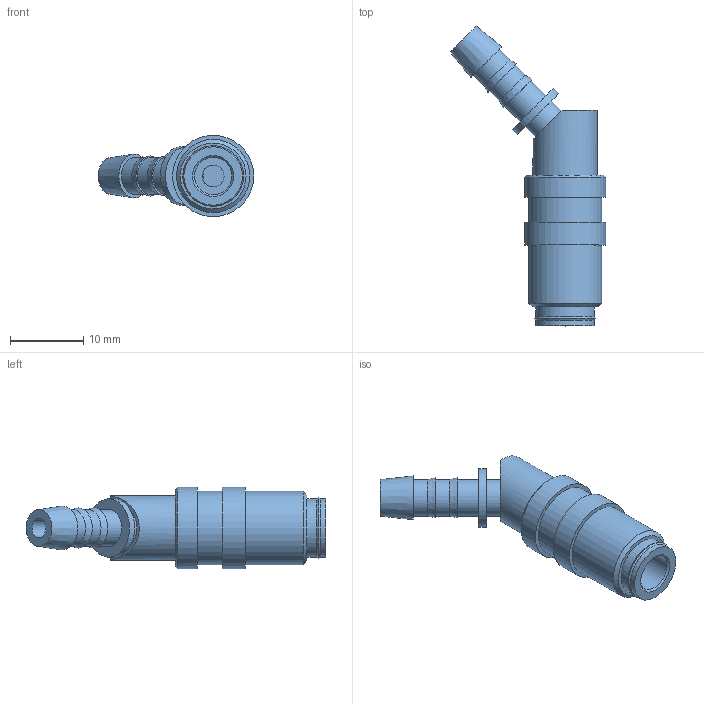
import cadquery as cq


PLUG_RADIUS = 4.0
PLUG_LENGTH = 2.62
BEAD_RADIUS = 4.15
BEAD_START = 0.78
BEAD_WIDTH = 0.5
BARREL_RADIUS = 5.0
BARREL_CHAMFER = 0.5
COLLAR_RADIUS = 5.55
LOWER_COLLAR_WIDTH = 3.1
LOWER_COLLAR_START = 11.06
UPPER_COLLAR_START = 17.6
UPPER_COLLAR_WIDTH = 3.0
COLLAR_CHAMFER = 0.25
NECK_RADIUS = 4.4
BODY_LENGTH = 29.5
LOWER_COLLAR_END = LOWER_COLLAR_START + LOWER_COLLAR_WIDTH
UPPER_COLLAR_END = UPPER_COLLAR_START + UPPER_COLLAR_WIDTH

BORE_RADIUS = 2.55
BORE_MOUTH_CHAMFER = 0.25
BORE_DEPTH = LOWER_COLLAR_END
INNER_BORE_RADIUS = 1.5
INNER_BORE_DEPTH = 28.5

NOZZLE_ANGLE = 45.0
PIVOT_Y = 25.29
NOZZLE_REACH = 19.72
NOZZLE_LENGTH = 16.45
STEM_RADIUS = 2.5
TIP_BARB_RADIUS = 3.0
TIP_BARB_LENGTH = 4.5
SMALL_BARB_RADIUS = 2.75
SMALL_BARB_LENGTH = 1.05
SMALL_BARB_STARTS = (6.5, 9.5)
STOP_RADIUS = 4.0
STOP_START = 13.5
STOP_WIDTH = 1.0
NOZZLE_BORE_RADIUS = 1.33

MITRE_OFFSET = NOZZLE_REACH - NOZZLE_LENGTH


def cylinder(radius, start, end):
    """Cylinder on the Z axis between two heights."""
    return cq.Workplane("XY").workplane(offset=start).circle(radius).extrude(end - start)


def cone(start_radius, end_radius, start, length):
    """Truncated cone on the Z axis, rising from the given height."""
    solid = cq.Solid.makeCone(start_radius, end_radius, length, cq.Vector(0, 0, start))
    return cq.Workplane("XY").add(solid)


def along_body(shape):
    """Turn a shape built on the Z axis so that it runs along +Y."""
    return shape.rotate((0, 0, 0), (1, 0, 0), -90)


def along_nozzle(shape):
    """Place a shape whose Z axis runs outward from the axis crossing onto the nozzle axis."""
    tilted = along_body(shape).rotate((0, 0, 0), (0, 0, 1), NOZZLE_ANGLE)
    return tilted.translate((0, PIVOT_Y, 0))


def make_bead():
    """Small pointed ring around the plug end."""
    half_width = BEAD_WIDTH / 2
    lower = cone(PLUG_RADIUS, BEAD_RADIUS, BEAD_START, half_width)
    upper = cone(BEAD_RADIUS, PLUG_RADIUS, BEAD_START + half_width, half_width)
    return lower.union(upper)


def make_body():
    """Solid stepped body, mitred square to the nozzle axis."""
    plug = cylinder(PLUG_RADIUS, 0, PLUG_LENGTH)
    barrel = cylinder(BARREL_RADIUS, PLUG_LENGTH, UPPER_COLLAR_START)
    barrel = barrel.faces("<Z").chamfer(BARREL_CHAMFER)
    lower_collar = cylinder(COLLAR_RADIUS, LOWER_COLLAR_START, LOWER_COLLAR_END)
    upper_collar = cylinder(COLLAR_RADIUS, UPPER_COLLAR_START, UPPER_COLLAR_END)
    upper_collar = upper_collar.faces(">Z").chamfer(COLLAR_CHAMFER)
    neck = cylinder(NECK_RADIUS, UPPER_COLLAR_START, BODY_LENGTH)
    body = plug.union(make_bead()).union(barrel).union(lower_collar).union(upper_collar).union(neck)
    beyond_mitre = cylinder(BODY_LENGTH, MITRE_OFFSET, BODY_LENGTH)
    return along_body(body).cut(along_nozzle(beyond_mitre))


def make_nozzle():
    """Solid nozzle with widening barbs and a hose stop, its stem running to the axis crossing."""
    tip_barb = cone(STEM_RADIUS, TIP_BARB_RADIUS, 0, TIP_BARB_LENGTH)
    stop = cylinder(STOP_RADIUS, STOP_START, STOP_START + STOP_WIDTH)
    nozzle = cylinder(STEM_RADIUS, 0, NOZZLE_REACH).union(tip_barb).union(stop)
    for start in SMALL_BARB_STARTS:
        nozzle = nozzle.union(cone(STEM_RADIUS, SMALL_BARB_RADIUS, start, SMALL_BARB_LENGTH))
    outward = nozzle.rotate((0, 0, 0), (1, 0, 0), 180).translate((0, 0, NOZZLE_REACH))
    return along_nozzle(outward)


def make_bores():
    """Stepped blind bore in the body, joined by the nozzle bore."""
    mouth_radius = BORE_RADIUS + BORE_MOUTH_CHAMFER
    mouth = cone(mouth_radius, BORE_RADIUS, 0, BORE_MOUTH_CHAMFER)
    main_bore = cylinder(BORE_RADIUS, 0, BORE_DEPTH)
    inner_bore = cylinder(INNER_BORE_RADIUS, 0, INNER_BORE_DEPTH)
    body_bore = along_body(main_bore.union(mouth).union(inner_bore))
    nozzle_bore = along_nozzle(cylinder(NOZZLE_BORE_RADIUS, 0, NOZZLE_REACH))
    return body_bore.union(nozzle_bore)


result = make_body().union(make_nozzle()).cut(make_bores())